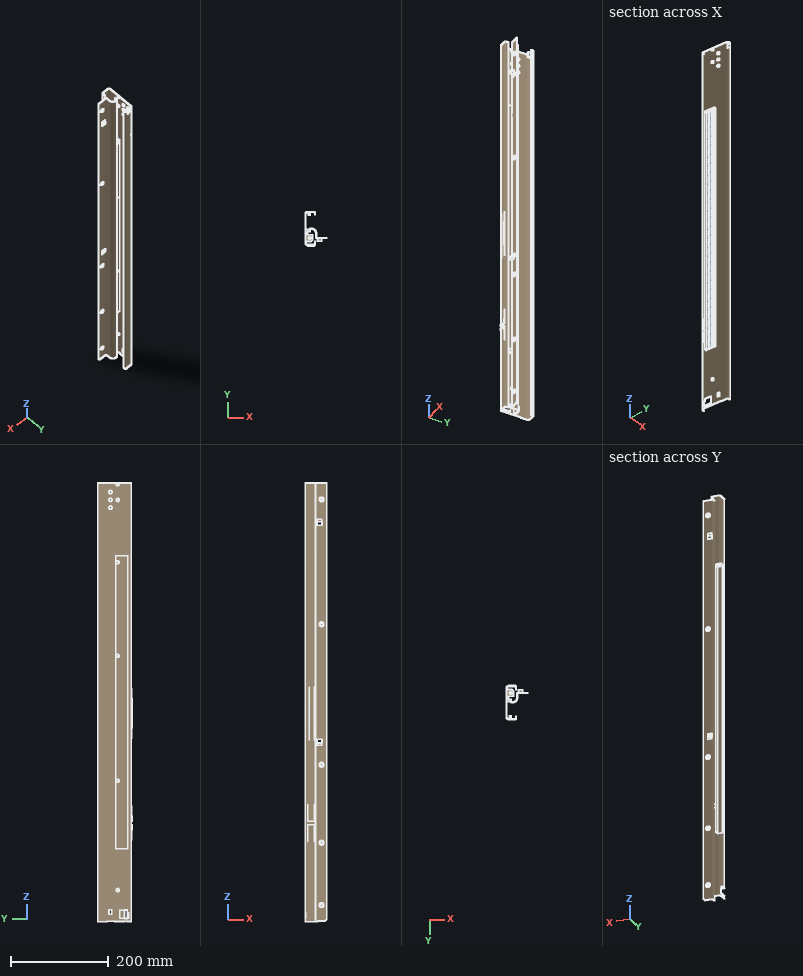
import cadquery as cq
import math

LENGTH = 900.0
SHEET = 1.5
WIDTH_Y = 70.8

PAD_HEIGHT = 1.7
RAIL_DEPTH = 20.7
FLOOR_Y = PAD_HEIGHT
LIP_TOP_Y = 10.0
HOOK_END_Y = 64.0
WEB_BEND = 5.0
LIP_BEND = 1.7
HOOK_BEND = 2.5

WEB_HOLE_D = 6.0
LINE_HOLE_Y = 30.0
LINE_HOLE_FIRST_Z = 65.0
LINE_HOLE_STEPS = (0.0, 224.0, 480.0, 672.0, 800.0, 832.0)
SIDE_HOLE_Y = 44.8
SIDE_HOLE_TOP_Z = 881.0
SIDE_HOLE_PITCH = 16.0
SIDE_HOLE_COUNT = 3
SLOT_WIDTH = 5.0
SLOT_LENGTH = 9.0
SLOT_Z = 20.0

WINDOW_Y = (10.5, 26.0)
WINDOW_Z = (7.0, 24.0)
WINDOW_STEP_Y = 7.5
WINDOW_STEP_Z = 18.0
NOTCH_X = (11.4, 14.1)
NOTCH_DEPTH = 11.0
LUG_X = (6.5, 10.8)
LUG_END_Y = 63.5
WEB_TRIM = 1.0
WEB_TRIM_TOP_Y = 51.0

PAD_RIGHT_X = 18.5
LONG_PAD_LEFT_X = 8.0
LONG_PAD_Z = (373.0, 410.0, 446.0, 481.0)
WEDGE_LOW_Z = (165.0, 199.0)
WEDGE_HIGH_Z = (240.0, 206.0)

FLANGE_TIP_X = 44.4
FLANGE_TOP_Y = 17.2
LEG_X = 23.3
HOOK_LEFT_X = 8.7
HOOK_TOP_Y = 36.2
HOOK_TIP_Y = 29.0
LEG_BEND = 10.0
SMALL_BEND = 2.5
FLANGE_TRIM = 1.2
FLANGE_CHAMFER = 4.0

SCREW_X = 33.6
SCREW_FIRST_Z = 34.0
SCREW_STEPS = (0.0, 128.0, 288.0, 576.0, 832.0)
SCREW_D = 5.5
SCREW_HEAD_D = 9.5
SCREW_HEAD_DEPTH = 1.2

TAB_X = (25.2, 34.5)
TAB_END_Y = 9.5
TAB_THICKNESS = 5.0
TAB_GAP = 7.0
UPPER_TAB_TOP_Z = 825.0
LOWER_TAB_BOTTOM_Z = 362.0

CARRIAGE_Z = (150.0, 750.0)
CARRIAGE_WALL_X = 5.0
CARRIAGE_Y = (9.0, 34.0)
FINGER_X = HOOK_LEFT_X
FINGER_BOTTOM_Y = HOOK_TIP_Y
BLOCK_X = 15.5
BLOCK_TOP_Y = 23.5
BLOCK_BEND = 6.0
AXLE_HOLE_D = 4.0
AXLE_HOLE_XY = (8.8, 16.5)


def box(x_range, y_range, z_range):
    """Block between two limits along each axis."""
    size = [limits[1] - limits[0] for limits in (x_range, y_range, z_range)]
    corner = (x_range[0], y_range[0], z_range[0])
    return cq.Workplane("XY").box(*size, centered=False).translate(corner)


def bent_sheet(face, bends):
    """Full-length folded sheet: thickness is added to the left of the face path.

    Each inner vertex of the path has a bend, given by the larger of its two radii.
    """
    directions = []
    for start, end in zip(face, face[1:]):
        run = math.dist(start, end)
        directions.append(((end[0] - start[0]) / run, (end[1] - start[1]) / run))
    before = [directions[0]] + directions
    after = directions + [directions[-1]]
    back = []
    for (x, y), a, b in zip(face, before, after):
        reach = SHEET / (1 + a[0] * b[0] + a[1] * b[1])
        back.append((x - (a[1] + b[1]) * reach, y + (a[0] + b[0]) * reach))
    sheet = cq.Workplane("XY").polyline(face + back[::-1]).close().extrude(LENGTH)
    for index, bend in enumerate(bends, start=1):
        a, b = directions[index - 1], directions[index]
        turns_left = a[0] * b[1] - a[1] * b[0] > 0
        face_radius = bend if turns_left else bend - SHEET
        back_radius = bend - SHEET if turns_left else bend
        for (x, y), radius in ((face[index], face_radius), (back[index], back_radius)):
            corner = cq.selectors.NearestToPointSelector((x, y, LENGTH / 2))
            sheet = sheet.edges("|Z").edges(corner).fillet(radius)
    return sheet


def floor_pad(left_x, outline):
    """Raised pad whose (Y, Z) outline runs along X almost to the lip."""
    pad = cq.Workplane("YZ").polyline(outline).close().extrude(PAD_RIGHT_X - left_x)
    return pad.translate((left_x, 0, 0))


def make_long_pad():
    bottom, flat_start, flat_end, top = LONG_PAD_Z
    outline = [(FLOOR_Y, bottom), (0, flat_start), (0, flat_end), (FLOOR_Y, top)]
    return floor_pad(LONG_PAD_LEFT_X, outline)


def make_wedge(thin_end, thick_end):
    return floor_pad(WEB_BEND, [(FLOOR_Y, thin_end), (0, thick_end), (FLOOR_Y, thick_end)])


def make_drawer_rail():
    face = [
        (RAIL_DEPTH, HOOK_END_Y),
        (RAIL_DEPTH, WIDTH_Y),
        (0, WIDTH_Y),
        (0, FLOOR_Y),
        (RAIL_DEPTH, FLOOR_Y),
        (RAIL_DEPTH, LIP_TOP_Y),
    ]
    rail = bent_sheet(face, [HOOK_BEND, WEB_BEND, WEB_BEND, LIP_BEND])

    notch_z = (LENGTH - NOTCH_DEPTH, LENGTH)
    lug = box(LUG_X, (LUG_END_Y, WIDTH_Y - SHEET), notch_z)
    rail = rail.union(lug)
    rail = rail.cut(box(NOTCH_X, (HOOK_END_Y, WIDTH_Y), notch_z))

    for pad in (make_long_pad(), make_wedge(*WEDGE_LOW_Z), make_wedge(*WEDGE_HIGH_Z)):
        rail = rail.union(pad)

    holes = [(LINE_HOLE_Y, LINE_HOLE_FIRST_Z + step) for step in LINE_HOLE_STEPS]
    for index in range(SIDE_HOLE_COUNT):
        holes.append((SIDE_HOLE_Y, SIDE_HOLE_TOP_Z - index * SIDE_HOLE_PITCH))
    web = cq.Workplane("YZ")
    rail = rail.cut(web.pushPoints(holes).circle(WEB_HOLE_D / 2).extrude(SHEET))
    slot = web.center(SIDE_HOLE_Y, SLOT_Z).rect(SLOT_WIDTH, SLOT_LENGTH).extrude(SHEET)
    rail = rail.cut(slot)

    rail = rail.cut(box((0, SHEET), WINDOW_Y, WINDOW_Z))
    rail = rail.cut(box((0, SHEET), (WINDOW_STEP_Y, WINDOW_Y[0]), (WINDOW_Z[0], WINDOW_STEP_Z)))

    return rail.cut(box((0, SHEET), (WEB_BEND, WEB_TRIM_TOP_Y), (0, WEB_TRIM)))


def make_tab(solid_z, gap_z):
    """Bent tab below the flange, and the opening left beside it."""
    tab = box(TAB_X, (TAB_END_Y, FLANGE_TOP_Y - SHEET), solid_z)
    opening = box(TAB_X, (TAB_END_Y, FLANGE_TOP_Y), gap_z)
    return tab, opening


def make_cabinet_rail():
    face = [
        (FLANGE_TIP_X, FLANGE_TOP_Y),
        (LEG_X, FLANGE_TOP_Y),
        (LEG_X, HOOK_TOP_Y),
        (HOOK_LEFT_X, HOOK_TOP_Y),
        (HOOK_LEFT_X, HOOK_TIP_Y),
    ]
    rail = bent_sheet(face, [SMALL_BEND, LEG_BEND, SMALL_BEND])

    flange_y = (FLANGE_TOP_Y - SHEET, FLANGE_TOP_Y)
    rail = rail.cut(box((LEG_X + SMALL_BEND, FLANGE_TIP_X), flange_y, (0, FLANGE_TRIM)))
    corner = cq.selectors.NearestToPointSelector((FLANGE_TIP_X, FLANGE_TOP_Y, FLANGE_TRIM))
    rail = rail.edges("|Y").edges(corner).chamfer(FLANGE_CHAMFER)

    screws = [(SCREW_X, SCREW_FIRST_Z + step) for step in SCREW_STEPS]
    up = cq.Vector(0, 1, 0)
    for x, z in screws:
        under = cq.Vector(x, flange_y[0], z)
        rail = rail.cut(cq.Workplane(cq.Solid.makeCylinder(SCREW_D / 2, SHEET, under, up)))
        sink = cq.Solid.makeCone(SCREW_HEAD_D / 2, SCREW_D / 2, SCREW_HEAD_DEPTH, under, up)
        rail = rail.cut(cq.Workplane(sink))

    upper_bottom = UPPER_TAB_TOP_Z - TAB_THICKNESS
    lower_top = LOWER_TAB_BOTTOM_Z + TAB_THICKNESS
    tabs = (
        make_tab((upper_bottom, UPPER_TAB_TOP_Z), (upper_bottom - TAB_GAP, upper_bottom)),
        make_tab((LOWER_TAB_BOTTOM_Z, lower_top), (lower_top, lower_top + TAB_GAP)),
    )
    for tab, opening in tabs:
        rail = rail.union(tab).cut(opening)
    return rail


def make_carriage():
    bottom, top = CARRIAGE_Y
    length = CARRIAGE_Z[1] - CARRIAGE_Z[0]
    carriage = (
        cq.Workplane("XY", origin=(0, 0, CARRIAGE_Z[0]))
        .moveTo(SHEET, bottom)
        .lineTo(BLOCK_X - BLOCK_BEND, bottom)
        .radiusArc((BLOCK_X, bottom + BLOCK_BEND), -BLOCK_BEND)
        .lineTo(BLOCK_X, BLOCK_TOP_Y)
        .lineTo(CARRIAGE_WALL_X, BLOCK_TOP_Y)
        .lineTo(CARRIAGE_WALL_X, FINGER_BOTTOM_Y)
        .lineTo(FINGER_X, FINGER_BOTTOM_Y)
        .lineTo(FINGER_X, top)
        .lineTo(SHEET, top)
        .close()
        .extrude(length)
    )
    return carriage.faces(">Z").workplane(origin=(0, 0, 0)).center(*AXLE_HOLE_XY).hole(AXLE_HOLE_D)


drawer_rail = make_drawer_rail()
cabinet_rail = make_cabinet_rail()
carriage = make_carriage()

bodies = (drawer_rail, cabinet_rail, carriage)
result = cq.Compound.makeCompound([body.solids().val() for body in bodies])